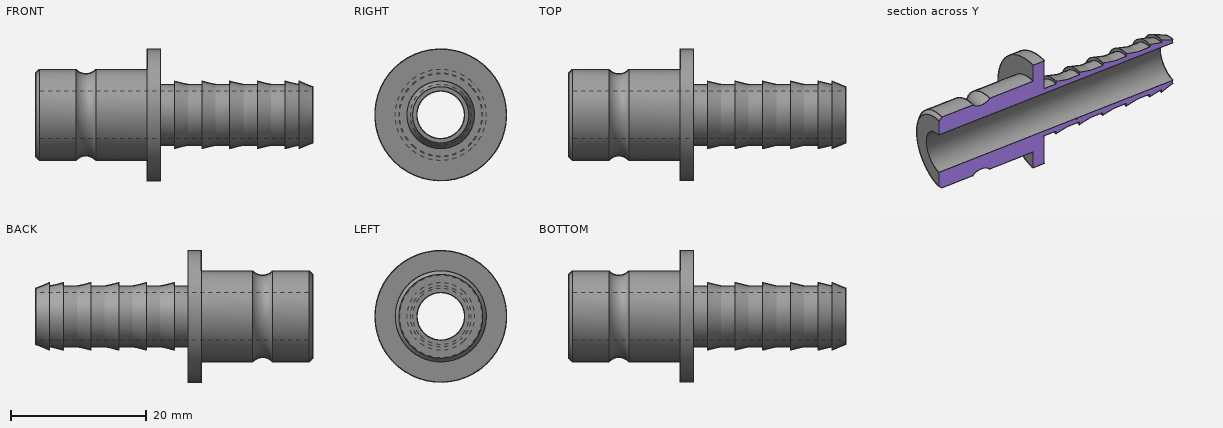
import cadquery as cq

length = 41.0
bore_diameter = 7.0

plug_radius = 13.5 / 2
nose_chamfer = 0.55
groove_center = 7.42
groove_width = 2.95
groove_depth = 0.65

flange_diameter = 19.5
flange_start = 16.5
flange_thickness = 2.0

stem_radius = 9.0 / 2
barb_radius = 10.0 / 2
tip_radius = 8.32 / 2
barb_count = 5
barb_pitch = 4.1
barb_length = barb_pitch / 2
tip_start = length - barb_length
first_barb = tip_start - barb_length - (barb_count - 1) * barb_pitch


def cylinder(start, end, radius):
    """Solid cylinder on the X axis between two X positions."""
    return cq.Workplane("YZ", origin=(start, 0, 0)).circle(radius).extrude(end - start)


def revolve_about_x(profile):
    """Full turn of a closed XY profile about the X axis."""
    return profile.revolve(360, (0, 0, 0), (1, 0, 0))


def cone(start, start_radius, end_radius):
    """Barb-length cone that narrows from its back edge toward the hose end."""
    end = start + barb_length
    profile = cq.Workplane("XY").polyline(
        [(start, 0), (start, start_radius), (end, end_radius), (end, 0)]
    )
    return revolve_about_x(profile.close())


def make_plug():
    """Plug body up to the flange."""
    groove_start = groove_center - groove_width / 2
    groove_end = groove_center + groove_width / 2
    profile = (
        cq.Workplane("XY")
        .moveTo(0, 0)
        .lineTo(0, plug_radius - nose_chamfer)
        .lineTo(nose_chamfer, plug_radius)
        .lineTo(groove_start, plug_radius)
        .threePointArc(
            (groove_center, plug_radius - groove_depth),
            (groove_end, plug_radius),
        )
        .lineTo(flange_start, plug_radius)
        .lineTo(flange_start, 0)
        .close()
    )
    return revolve_about_x(profile)


def make_hose_stem():
    """Barbed stem from the flange to the tip."""
    stem = cylinder(flange_start, tip_start, stem_radius)
    for index in range(barb_count):
        barb_start = first_barb + index * barb_pitch
        stem = stem.union(cone(barb_start, barb_radius, stem_radius))
    return stem.union(cone(tip_start, barb_radius, tip_radius))


flange = cylinder(flange_start, flange_start + flange_thickness, flange_diameter / 2)
bore = cylinder(0, length, bore_diameter / 2)

result = make_plug().union(flange).union(make_hose_stem()).cut(bore)